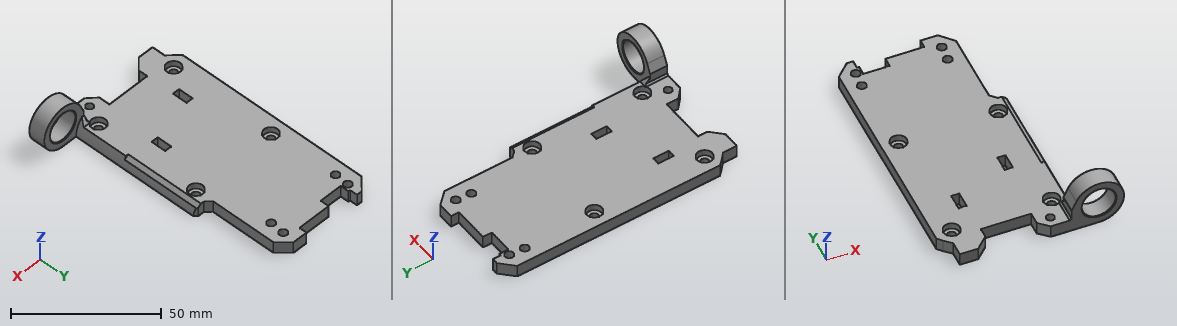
import cadquery as cq
import math

length = 96.35
thickness = 5.0
body_width = 42.3
lip_edge_x = 48.3
lip_end_y = 61.8
lip_corner = 1.2

ring_radius = 9.1
ring_x = 54.4
ring_z = ring_radius
ring_depth = 6.9
ring_bore = 12.1
bore_chamfer = 0.3
ring_wall_x = 44.5
ring_wall_top = 9.25
foot_chamfer = 0.7
gusset_size = 2.3

edge_radius = 10.6
edge_axis_x = lip_edge_x - edge_radius
bevel_start_x = 45.9
bevel_end_x = 47.6
bevel_start_y = 28.5

mount_diameter = 3.1
counterbore_diameter = 6.0
counterbore_depth = 2.5
mount_x = (6.3, body_width)
mount_y = (11.6, 56.1)
end_diameter = 3.3
end_points = [(5.8, 90.8), (36.8, 90.8), (5.4, 84.8), (36.3, 84.8)]
foot_diameter = 3.0
foot_point = (38.5, 3.9)

slot_width = 2.9
slot_length = 6.2
slot_centers = [(13.8, 22.9), (34.9, 33.2)]


def box(x0, x1, y0, y1, z0, z1):
    """Box given by its limits along each axis."""
    return cq.Workplane("XY").box(x1 - x0, y1 - y0, z1 - z0, centered=False).translate((x0, y0, z0))


def along_y(profile, y0, y1):
    """Extrude a closed XZ profile from y0 to y1."""
    return profile.extrude(y0 - y1).translate((0, y0, 0))


def make_plate():
    """Plate with feet, notches and the right-hand lip."""
    outline = [
        (4.2, 0), (10.9, 0), (15.2, 4.2), (15.2, 8.0),
        (33.3, 8.0), (33.3, 3.4), (37.0, 0), (lip_edge_x, 0),
        (lip_edge_x, lip_end_y - lip_corner), (lip_edge_x - lip_corner, lip_end_y),
        (44.5, lip_end_y), (body_width, 64.0),
        (body_width, 91.5), (37.8, length), (31.5, length), (31.5, 93.2),
        (17.5, 93.2), (17.5, 89.6), (8.0, 89.6), (8.0, 93.2),
        (7.2, 93.2), (7.2, length), (4.9, length), (0, 91.5),
        (0, 9.7), (1.5, 8.1), (4.2, 5.6),
    ]
    return cq.Workplane("XY").polyline(outline).close().extrude(thickness)


def make_gusset():
    """Sloped web joining the back of the ring to the top of the plate."""
    return (
        cq.Workplane("YZ")
        .moveTo(ring_depth, thickness)
        .lineTo(ring_depth + gusset_size, thickness)
        .lineTo(ring_depth, thickness + gusset_size)
        .close()
        .extrude(lip_edge_x - ring_wall_x + foot_chamfer)
        .translate((ring_wall_x - foot_chamfer, 0, 0))
    )


def foot_strip(y_end):
    """Space to the right of the chamfered foot of the ring wall."""
    profile = (
        cq.Workplane("XZ")
        .moveTo(ring_wall_x - foot_chamfer, thickness)
        .lineTo(ring_wall_x, thickness + foot_chamfer)
        .lineTo(ring_wall_x, ring_wall_top)
        .lineTo(lip_edge_x, ring_wall_top)
        .lineTo(lip_edge_x, thickness)
        .close()
    )
    return along_y(profile, 0, y_end)


def make_ring():
    """Solid ring body, its left wall running tangent into the round."""
    dx = ring_wall_x - ring_x
    dz = ring_wall_top - ring_z
    tangent_angle = math.atan2(dz, dx) - math.acos(ring_radius / math.hypot(dx, dz))
    tangent_x = ring_x + ring_radius * math.cos(tangent_angle)
    tangent_z = ring_z + ring_radius * math.sin(tangent_angle)
    profile = (
        cq.Workplane("XZ")
        .moveTo(ring_wall_x, 0)
        .lineTo(ring_wall_x, ring_wall_top)
        .lineTo(tangent_x, tangent_z)
        .threePointArc((ring_x + ring_radius, ring_z), (ring_x, 0))
        .close()
    )
    return along_y(profile, 0, ring_depth)


def make_bore():
    """Ring bore with a small chamfer at both mouths."""
    radius = ring_bore / 2
    mouth = radius + bore_chamfer
    section = [
        (0, 0), (mouth, 0), (radius, bore_chamfer),
        (radius, ring_depth - bore_chamfer), (mouth, ring_depth), (0, ring_depth),
    ]
    bore = cq.Workplane("XY").polyline(section).close().revolve(360, (0, 0, 0), (0, 1, 0))
    return bore.translate((ring_x, 0, ring_z))


def make_edge_round():
    """Material to the right of the convex edge, from the ring to the end of the plate."""
    round_body = cq.Workplane("XZ").center(edge_axis_x, 0).circle(edge_radius)
    outside = box(body_width, ring_x, ring_depth, lip_end_y, 0, edge_radius)
    return outside.cut(along_y(round_body, ring_depth, lip_end_y))


def make_bevel():
    """Shallow bevel on top of the lip, ending on the rounded edge."""
    bevel_end_z = math.sqrt(edge_radius**2 - (bevel_end_x - edge_axis_x)**2)
    slope = (thickness - bevel_end_z) / (bevel_end_x - bevel_start_x)
    edge_z = thickness - slope * (lip_edge_x - bevel_start_x)
    profile = (
        cq.Workplane("XZ")
        .moveTo(bevel_start_x, thickness)
        .lineTo(lip_edge_x, edge_z)
        .lineTo(lip_edge_x, thickness)
        .close()
    )
    return along_y(profile, bevel_start_y, lip_end_y)


def drill(points, diameter, bottom=0.0):
    """Vertical cylinders from the given height to the top of the plate."""
    return (
        cq.Workplane("XY", origin=(0, 0, bottom))
        .pushPoints(points)
        .circle(diameter / 2)
        .extrude(thickness - bottom)
    )


mount_points = [(x, y) for x in mount_x for y in mount_y]
slots = cq.Workplane("XY").pushPoints(slot_centers).rect(slot_width, slot_length).extrude(thickness)
gusset = make_gusset().intersect(foot_strip(ring_depth + gusset_size))
ring = make_ring().union(foot_strip(ring_depth).intersect(
    box(0, ring_wall_x + foot_chamfer, 0, ring_depth, thickness, thickness + foot_chamfer)))

result = (
    make_plate()
    .union(gusset)
    .cut(make_edge_round())
    .cut(make_bevel())
    .union(ring)
    .cut(make_bore())
    .cut(drill(mount_points, mount_diameter))
    .cut(drill(mount_points, counterbore_diameter, thickness - counterbore_depth))
    .cut(drill(end_points, end_diameter))
    .cut(drill([foot_point], foot_diameter))
    .cut(slots)
)